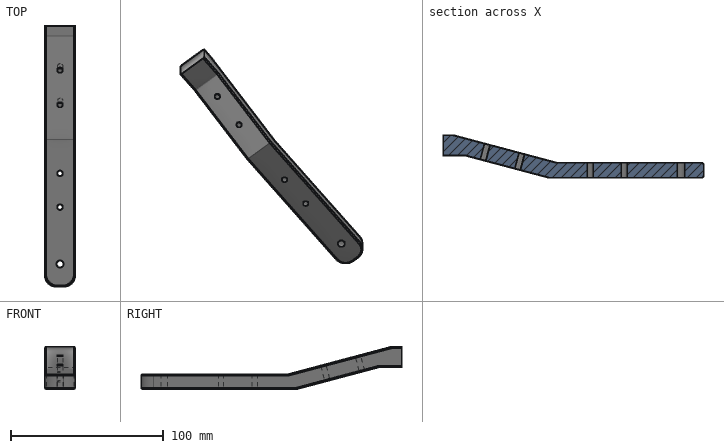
import cadquery as cq
import math

width = 20.0
length = 170.69
total_height = 28.0
front_thickness = 10.0
rear_thickness = 13.4

top_slope_start_y = 96.55
top_slope_end_y = 164.2
bottom_slope_start_y = 101.3
bottom_slope_end_y = 156.2

nose_radius = 8.0
edge_chamfer = 1.0

pivot_diameter = 4.5
pivot_y = 15.0
screw_diameter = 3.5
front_screw_ys = (52.2, 74.3)
rear_screw_ys = (119.1, 141.7)

rear_bottom_z = total_height - rear_thickness
slope_angle = math.atan2(total_height - front_thickness, top_slope_end_y - top_slope_start_y)


def make_bar():
    """Extrude the bent side outline across the width, centred on X = 0."""
    outline = [
        (0, 0),
        (bottom_slope_start_y, 0),
        (bottom_slope_end_y, rear_bottom_z),
        (length, rear_bottom_z),
        (length, total_height),
        (top_slope_end_y, total_height),
        (top_slope_start_y, front_thickness),
        (0, front_thickness),
    ]
    return cq.Workplane("YZ").polyline(outline).close().extrude(width / 2, both=True)


def round_nose(bar):
    """Round the two upright corners of the front end."""
    return bar.faces("<Y").edges("|Z").fillet(nose_radius)


def chamfer_rims(bar):
    """Chamfer the long edges and the nose rims, leaving the raised end face square."""
    rims = bar.faces("<X or >X").edges("not |Z").add(bar.faces("<Y").edges("|X"))
    return rims.chamfer(edge_chamfer)


def vertical_hole(y, diameter):
    """Cutter for a through hole in the level front section."""
    return cq.Workplane("XY").center(0, y).circle(diameter / 2).extrude(front_thickness)


def sloped_hole(y, diameter):
    """Cutter for a through hole square to the sloped top face."""
    z = front_thickness + (y - top_slope_start_y) * math.tan(slope_angle)
    axis = cq.Vector(0, -math.sin(slope_angle), math.cos(slope_angle))
    reach = total_height
    start = cq.Vector(0, y, z) - axis * reach
    return cq.Solid.makeCylinder(diameter / 2, 2 * reach, start, axis)


result = chamfer_rims(round_nose(make_bar()))
result = result.cut(vertical_hole(pivot_y, pivot_diameter))
for screw_y in front_screw_ys:
    result = result.cut(vertical_hole(screw_y, screw_diameter))
for screw_y in rear_screw_ys:
    result = result.cut(sloped_hole(screw_y, screw_diameter))